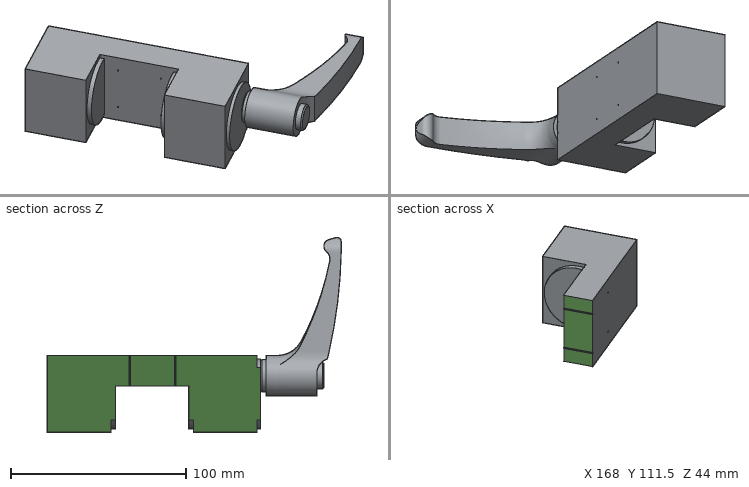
import cadquery as cq
import math

block_length = 120.0
block_side = 44.0
jaw_length = 36.5
web_thickness = 17.6
jaw_depth = block_side - web_thickness
gap_length = block_length - 2 * jaw_length

pad_diameter = 40.0
inner_pad_height = 2.7
outer_pad_height = 2.0

pinhole_diameter = 0.5
pinhole_spacing = 25.9
pinhole_center_x = 60.2

axis_y = 32.5
neck_diameter = 18.5
neck_chamfer = 0.7
neck_start = block_length + outer_pad_height
hub_start = 125.0
hub_end = 154.1
hub_radius = block_side - axis_y
cap_diameter = 15.3
cap_end = 158.1
cap_chamfer = 0.8

lever_width = 16.8
lever_end_x = 168.0
lever_tip_y = 111.5
side_blend_radius = 16.5
tip_radius = lever_width / 2
tip_center_y = lever_tip_y - tip_radius

lever_start = (131.8, block_side)
root_middle = (140.0, 46.5)
root_end = (144.9, 51.8)
inner_middle = (155.1, 75.0)
inner_end = (161.2, 97.1)
neck_in_middle = (161.2, 100.8)
knob_start = (159.2, 103.7)
knob_middle = (158.1, 107.4)
knob_end = (161.2, 110.2)
crown_top = (165.2, lever_tip_y)
crown_middle = (167.4, 110.5)
crown_end = (lever_end_x, 108.7)
outer_start = (lever_end_x, tip_center_y)
outer_middle = (165.5, 70.6)
outer_end = (161.0, 45.5)
heel = (160.2, 42.0)
heel_inside = (158.1, 41.0)
heel_middle = (155.3, 38.1)
heel_end = (hub_end, 34.3)


def x_cylinder(diameter, start_x, end_x, center_y):
    """Cylinder along X between two X positions, centered on Z = 0."""
    plane = cq.Workplane("YZ", origin=(start_x, center_y, 0))
    return plane.circle(diameter / 2).extrude(end_x - start_x)


def make_clamp():
    """U-shaped block with three raised round pads."""
    clamp = cq.Workplane("XY").box(block_length, block_side, block_side, centered=(False, False, True))
    gap = cq.Workplane("XY", origin=(jaw_length, 0, 0)).box(
        gap_length, jaw_depth, block_side, centered=(False, False, True)
    )
    pinholes = (
        cq.Workplane("XZ", origin=(pinhole_center_x, block_side, 0))
        .rarray(pinhole_spacing, pinhole_spacing, 2, 2)
        .circle(pinhole_diameter / 2)
        .extrude(web_thickness)
    )
    clamp = clamp.cut(gap).cut(pinholes)
    right_jaw_start = jaw_length + gap_length
    pad_spans = [
        (jaw_length, jaw_length + inner_pad_height),
        (right_jaw_start - inner_pad_height, right_jaw_start),
        (block_length, block_length + outer_pad_height),
    ]
    for start_x, end_x in pad_spans:
        clamp = clamp.union(x_cylinder(pad_diameter, start_x, end_x, block_side / 2))
    return clamp


def lever_inner_edge(start):
    """Outline from start along the inner edge of the lever to the top of its crown."""
    return (
        start.lineTo(*lever_start)
        .threePointArc(root_middle, root_end)
        .threePointArc(inner_middle, inner_end)
        .threePointArc(neck_in_middle, knob_start)
        .threePointArc(knob_middle, knob_end)
        .lineTo(*crown_top)
    )


def make_lever_section():
    """Lever and hub section seen along X: a narrow arm blended into the hub circle, with a round tip."""
    half_width = lever_width / 2
    blend_center_z = half_width + side_blend_radius
    center_distance = hub_radius + side_blend_radius
    blend_center_y = axis_y + math.sqrt(center_distance**2 - blend_center_z**2)
    contact_ratio = hub_radius / center_distance
    contact_y = axis_y + (blend_center_y - axis_y) * contact_ratio
    contact_z = blend_center_z * contact_ratio
    blend_angle = math.atan2(blend_center_y - axis_y, blend_center_z) / 2
    blend_y = blend_center_y - side_blend_radius * math.sin(blend_angle)
    blend_z = blend_center_z - side_blend_radius * math.cos(blend_angle)
    return (
        cq.Workplane("YZ", origin=(hub_start, 0, 0))
        .moveTo(contact_y, contact_z)
        .threePointArc((blend_y, blend_z), (blend_center_y, half_width))
        .lineTo(tip_center_y, half_width)
        .threePointArc((lever_tip_y, 0), (tip_center_y, -half_width))
        .lineTo(blend_center_y, -half_width)
        .threePointArc((blend_y, -blend_z), (contact_y, -contact_z))
        .threePointArc((axis_y - hub_radius, 0), (contact_y, contact_z))
        .close()
        .extrude(lever_end_x - hub_start)
    )


def make_lever():
    """Hub and curved arm, with the inner edge turned about the hub axis so that it is round across."""
    inner_outline = lever_inner_edge(cq.Workplane("XY").moveTo(hub_start, axis_y).lineTo(hub_start, block_side))
    turned = (
        inner_outline.lineTo(lever_end_x, lever_tip_y)
        .lineTo(lever_end_x, axis_y)
        .close()
        .revolve(360, (0, axis_y, 0), (1, axis_y, 0))
    )
    hub_bottom = axis_y - hub_radius
    side_start = cq.Workplane("XY", origin=(0, 0, -hub_radius)).moveTo(hub_start, hub_bottom)
    side_outline = lever_inner_edge(side_start.lineTo(hub_start, block_side))
    side = (
        side_outline.threePointArc(crown_middle, crown_end)
        .lineTo(*outer_start)
        .threePointArc(outer_middle, outer_end)
        .lineTo(*heel)
        .lineTo(*heel_inside)
        .threePointArc(heel_middle, heel_end)
        .lineTo(hub_end, hub_bottom)
        .close()
        .extrude(2 * hub_radius)
    )
    return make_lever_section().intersect(side).intersect(turned)


def make_handle():
    """Lever with its neck toward the clamp and its chamfered end cap."""
    neck = x_cylinder(neck_diameter, neck_start, hub_start, axis_y).faces("<X").chamfer(neck_chamfer)
    cap = x_cylinder(cap_diameter, hub_end, cap_end, axis_y).faces(">X").chamfer(cap_chamfer)
    return make_lever().union(neck).union(cap)


clamp = make_clamp()
handle = make_handle()

result = cq.Compound.makeCompound([clamp.solids().val(), handle.solids().val()])